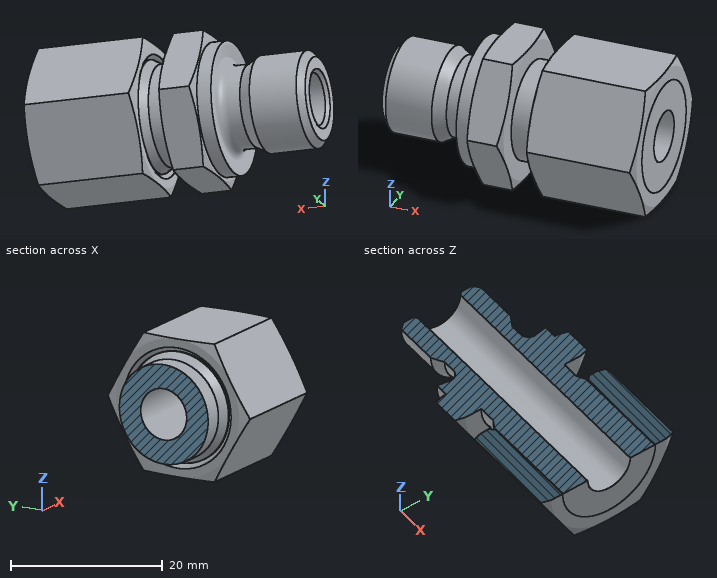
import cadquery as cq
import math

LENGTH = 38.0
ACROSS_FLATS = 19.0
HEX_SIDES = 6
HEX_CHAMFER_ANGLE = 15.0

THREAD_END = 7.5
COLLAR_FRONT = 12.0
STUD_HEX_FRONT = 14.0
STUD_HEX_BACK = 19.0
NECK_END = 21.6
NUT_FRONT = 22.5

THREAD_RADIUS = 6.57
GROOVE_RADIUS = 5.6
COLLAR_RADIUS = 9.0
NECK_RADIUS = 6.88
NUT_THREAD_RADIUS = 7.65
BORE_RADIUS = 3.5

TIP_CHAMFER_LENGTH = 0.9
TIP_CHAMFER_HEIGHT = 1.0
MOUTH_CHAMFER = 0.5
RUNOUT_ANGLE = 30.0
RECESS_RADIUS = 8.55
RECESS_DEPTH = 0.3
GROOVE_FILLET = 1.3
NUT_COUNTERSINK = 0.65

RUNOUT_SLOPE = math.tan(math.radians(RUNOUT_ANGLE))
GROOVE_START = THREAD_END + (THREAD_RADIUS - GROOVE_RADIUS) / RUNOUT_SLOPE
RECESS_FLOOR = COLLAR_FRONT + RECESS_DEPTH
FILLET_START = RECESS_FLOOR - GROOVE_FILLET
FILLET_TOP_RADIUS = GROOVE_RADIUS + GROOVE_FILLET
FILLET_MID_OFFSET = GROOVE_FILLET * math.sin(math.pi / 4)
NUT_THREAD_START = NECK_END + (NUT_THREAD_RADIUS - NECK_RADIUS) / RUNOUT_SLOPE


def chamfered_hex(x_start, x_end):
    """Hexagonal prism along X, flats facing +-Z, corners turned down at both ends."""
    flat_radius = ACROSS_FLATS / 2
    corner_radius = flat_radius / math.cos(math.pi / HEX_SIDES)
    chamfer_length = (corner_radius - flat_radius) * math.tan(math.radians(HEX_CHAMFER_ANGLE))
    prism = (
        cq.Workplane("YZ", origin=(x_start, 0, 0))
        .polygon(HEX_SIDES, 2 * corner_radius)
        .extrude(x_end - x_start)
    )
    turned_envelope = (
        cq.Workplane("XY")
        .moveTo(x_start, 0)
        .lineTo(x_start, flat_radius)
        .lineTo(x_start + chamfer_length, corner_radius)
        .lineTo(x_end - chamfer_length, corner_radius)
        .lineTo(x_end, flat_radius)
        .lineTo(x_end, 0)
        .close()
        .revolve(360, (0, 0, 0), (1, 0, 0))
    )
    return prism.intersect(turned_envelope)


def turned_stud():
    """Turned shape of the stud: thread, groove, recessed collar, neck and nut thread."""
    return (
        cq.Workplane("XY")
        .moveTo(0, BORE_RADIUS + MOUTH_CHAMFER)
        .lineTo(0, THREAD_RADIUS - TIP_CHAMFER_HEIGHT)
        .lineTo(TIP_CHAMFER_LENGTH, THREAD_RADIUS)
        .lineTo(THREAD_END, THREAD_RADIUS)
        .lineTo(GROOVE_START, GROOVE_RADIUS)
        .lineTo(FILLET_START, GROOVE_RADIUS)
        .threePointArc(
            (FILLET_START + FILLET_MID_OFFSET, FILLET_TOP_RADIUS - FILLET_MID_OFFSET),
            (RECESS_FLOOR, FILLET_TOP_RADIUS),
        )
        .lineTo(COLLAR_FRONT, RECESS_RADIUS)
        .lineTo(COLLAR_FRONT, COLLAR_RADIUS)
        .lineTo(STUD_HEX_BACK, COLLAR_RADIUS)
        .lineTo(STUD_HEX_BACK, NECK_RADIUS)
        .lineTo(NECK_END, NECK_RADIUS)
        .lineTo(NUT_THREAD_START, NUT_THREAD_RADIUS)
        .lineTo(LENGTH, NUT_THREAD_RADIUS)
        .lineTo(LENGTH, BORE_RADIUS)
        .lineTo(MOUTH_CHAMFER, BORE_RADIUS)
        .close()
        .revolve(360, (0, 0, 0), (1, 0, 0))
    )


def through_hole(radius):
    """Cylinder along the whole X axis of the fitting."""
    return cq.Workplane("YZ").circle(radius).extrude(LENGTH)


def make_stud():
    """One-piece stud with its wrench hexagon and axial bore."""
    wrench_hex = chamfered_hex(STUD_HEX_FRONT, STUD_HEX_BACK).cut(through_hole(BORE_RADIUS))
    return turned_stud().union(wrench_hex)


def make_nut():
    """Hexagonal nut with a plain socket around the back of the stud, countersunk at its front."""
    countersink = cq.Workplane(
        cq.Solid.makeCone(
            NUT_THREAD_RADIUS + NUT_COUNTERSINK,
            NUT_THREAD_RADIUS,
            NUT_COUNTERSINK,
            cq.Vector(NUT_FRONT, 0, 0),
            cq.Vector(1, 0, 0),
        )
    )
    return chamfered_hex(NUT_FRONT, LENGTH).cut(through_hole(NUT_THREAD_RADIUS)).cut(countersink)


stud = make_stud()
nut = make_nut()

result = cq.Compound.makeCompound([stud.val(), nut.val()])